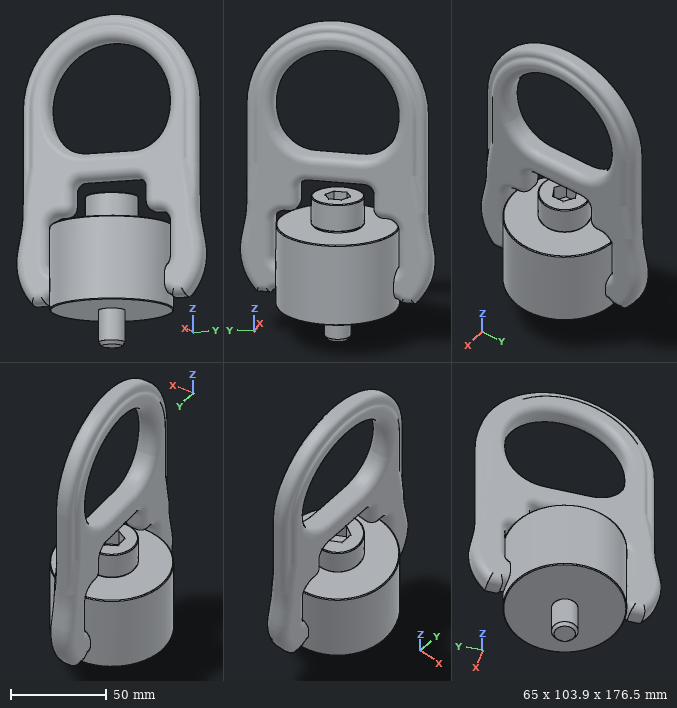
import cadquery as cq
import math


BODY_DIA = 65.0
BODY_HEIGHT = 44.7
BODY_CHAMFER = 0.5
HEAD_DIA = 28.0
HEAD_HEIGHT = 16.0
HEAD_CHAMFER = 0.5
HEAD_COLLAR_DIA = 26.5
HEAD_COLLAR_HEIGHT = 1.0
SHANK_DIA = 14.0
SHANK_LENGTH = 19.0
TIP_CHAMFER_RADIAL = 1.4
TIP_CHAMFER_LENGTH = 2.0
SOCKET_FLATS = 12.0
SOCKET_DEPTH = 9.0

TOTAL_HEIGHT = 176.5
RING_TOP = TOTAL_HEIGHT - SHANK_LENGTH
RING_THICK = 14.0
HALF_THICK = RING_THICK / 2
RING_RADIUS = 48.5
BOW_Z = RING_TOP - RING_RADIUS
RING_FILLET = 5.2

EYE_RADIUS = 33.5
EYE_FLOOR_Z = 84.0
EYE_FLOOR_HALF = 12.5

SWELL_HALF_WIDTH = 51.96
SWELL_RADIUS = 33.0
SWELL_Z = 27.7
LEAN = math.radians(10.8)
WAIST_RADIUS = 53.0
LEG_BOTTOM_Z = 4.8
LEG_BOTTOM_INNER = 35.0

HEAD_GAP_HALF = 20.0
HEAD_GAP_TOP = 69.0
HEAD_GAP_RADIUS = 5.0
BODY_GAP_HALF = 33.5
BODY_GAP_TOP = 51.0
BODY_GAP_RADIUS = 6.0
STEP_RADIUS = 5.4

LUG_END = 22.5
LUG_TOP_Z = 21.0
LUG_BOTTOM_Z = 7.0
LUG_TOP_RADIUS = 5.0
LUG_BOTTOM_RADIUS = 4.0

RIM_LAND = 1.5
RIM_RADIUS = 3.5
RIM_SIDE = RIM_LAND + RIM_RADIUS
RIM_BLEND = (6.0, 5.7)
RIM_DEPTH = 8.7
RIM_END_Z = 77.3
RIM_RUNOUT_Z = 56.5
RIM_BEND = 0.35
CUT_MARGIN = 2.0


def cylinder(diameter, bottom, height):
    return cq.Workplane("XY").workplane(offset=bottom).circle(diameter / 2).extrude(height)


def make_swivel_body(ring):
    body = cylinder(BODY_DIA, 0, BODY_HEIGHT).faces("<Z or >Z").chamfer(BODY_CHAMFER)

    head_bottom = BODY_HEIGHT + HEAD_COLLAR_HEIGHT
    head_top = BODY_HEIGHT + HEAD_HEIGHT
    collar = cylinder(HEAD_COLLAR_DIA, BODY_HEIGHT, HEAD_COLLAR_HEIGHT)
    head = cylinder(HEAD_DIA, head_bottom, head_top - head_bottom).faces(">Z").chamfer(HEAD_CHAMFER)
    shank = cylinder(SHANK_DIA, -SHANK_LENGTH, SHANK_LENGTH)
    shank = shank.faces("<Z").chamfer(TIP_CHAMFER_LENGTH, TIP_CHAMFER_RADIAL)

    socket = (
        cq.Workplane("XY")
        .workplane(offset=head_top - SOCKET_DEPTH)
        .polygon(6, SOCKET_FLATS / math.cos(math.pi / 6))
        .extrude(SOCKET_DEPTH)
        .rotate((0, 0, 0), (0, 0, 1), 90)
    )
    return body.union(collar).union(head).union(shank).cut(socket).cut(ring)


def arc_point(center, radius, degrees):
    angle = math.radians(degrees)
    return (center[0] + radius * math.cos(angle), center[1] + radius * math.sin(angle))


def ring_half_profile():
    """Half of the ring outline (Y > 0) without the eye, drawn as (Y, Z)."""
    swell = (SWELL_HALF_WIDTH - SWELL_RADIUS, SWELL_Z)
    lean_low = arc_point(swell, SWELL_RADIUS, math.degrees(LEAN))
    lean_high_y = RING_RADIUS + WAIST_RADIUS * (1 - math.cos(LEAN))
    lean_high_z = lean_low[1] + (lean_low[0] - lean_high_y) / math.tan(LEAN)
    waist = (RING_RADIUS + WAIST_RADIUS, lean_high_z + WAIST_RADIUS * math.sin(LEAN))
    waist_mid = arc_point(waist, WAIST_RADIUS, 180 + math.degrees(LEAN) / 2)

    bottom_drop = SWELL_Z - LEG_BOTTOM_Z
    leg_bottom_outer = swell[0] + math.sqrt(SWELL_RADIUS**2 - bottom_drop**2)

    lug_rise = LUG_BOTTOM_Z - LEG_BOTTOM_Z
    hollow_run = math.sqrt(LUG_BOTTOM_RADIUS**2 - (LUG_BOTTOM_RADIUS - lug_rise) ** 2)
    hollow_end = LEG_BOTTOM_INNER - hollow_run

    step_center = (HEAD_GAP_HALF + STEP_RADIUS, BODY_GAP_TOP + STEP_RADIUS)
    body_gap_center = (BODY_GAP_HALF - BODY_GAP_RADIUS, BODY_GAP_TOP - BODY_GAP_RADIUS)
    head_gap_center = (HEAD_GAP_HALF - HEAD_GAP_RADIUS, HEAD_GAP_TOP - HEAD_GAP_RADIUS)
    lug_top_center = (BODY_GAP_HALF - LUG_TOP_RADIUS, LUG_TOP_Z + LUG_TOP_RADIUS)

    return (
        cq.Workplane("YZ")
        .moveTo(0, RING_TOP)
        .threePointArc(arc_point((0, BOW_Z), RING_RADIUS, 45), (RING_RADIUS, BOW_Z))
        .lineTo(RING_RADIUS, waist[1])
        .threePointArc(waist_mid, (lean_high_y, lean_high_z))
        .lineTo(*lean_low)
        .threePointArc((SWELL_HALF_WIDTH, SWELL_Z), (leg_bottom_outer, LEG_BOTTOM_Z))
        .lineTo(LEG_BOTTOM_INNER, LEG_BOTTOM_Z)
        .radiusArc((hollow_end, LUG_BOTTOM_Z), -LUG_BOTTOM_RADIUS)
        .lineTo(LUG_END, LUG_BOTTOM_Z)
        .lineTo(LUG_END, LUG_TOP_Z)
        .lineTo(lug_top_center[0], LUG_TOP_Z)
        .threePointArc(arc_point(lug_top_center, LUG_TOP_RADIUS, -45), (BODY_GAP_HALF, lug_top_center[1]))
        .lineTo(BODY_GAP_HALF, body_gap_center[1])
        .threePointArc(arc_point(body_gap_center, BODY_GAP_RADIUS, 45), (body_gap_center[0], BODY_GAP_TOP))
        .lineTo(step_center[0], BODY_GAP_TOP)
        .threePointArc(arc_point(step_center, STEP_RADIUS, 225), (HEAD_GAP_HALF, step_center[1]))
        .lineTo(HEAD_GAP_HALF, head_gap_center[1])
        .threePointArc(arc_point(head_gap_center, HEAD_GAP_RADIUS, 45), (head_gap_center[0], HEAD_GAP_TOP))
        .lineTo(0, HEAD_GAP_TOP)
        .close()
    )


def make_eye():
    """Round eye with a flat floor; the floor corners are tangent to both."""
    drop = BOW_Z - EYE_FLOOR_Z
    corner_radius = (EYE_RADIUS**2 - EYE_FLOOR_HALF**2 - drop**2) / (2 * (EYE_RADIUS - drop))
    corner = (EYE_FLOOR_HALF, EYE_FLOOR_Z + corner_radius)
    join_angle = math.degrees(math.atan2(corner[1] - BOW_Z, corner[0]))
    join = arc_point((0, BOW_Z), EYE_RADIUS, join_angle)
    corner_mid = arc_point(corner, corner_radius, (join_angle - 90) / 2)
    return (
        cq.Workplane("YZ")
        .moveTo(-EYE_FLOOR_HALF, EYE_FLOOR_Z)
        .lineTo(EYE_FLOOR_HALF, EYE_FLOOR_Z)
        .threePointArc(corner_mid, join)
        .threePointArc((0, BOW_Z + EYE_RADIUS), (-join[0], join[1]))
        .threePointArc((-corner_mid[0], corner_mid[1]), (-EYE_FLOOR_HALF, EYE_FLOOR_Z))
        .close()
        .extrude(HALF_THICK, both=True)
    )


def chord_bow(start, end, bow):
    """Middle point of an arc that bows off its chord by the given amount, to the left of travel."""
    run = (end[0] - start[0], end[1] - start[1])
    length = math.hypot(*run)
    return (
        (start[0] + end[0]) / 2 - run[1] / length * bow,
        (start[1] + end[1]) / 2 + run[0] / length * bow,
    )


def cut_section(plane, points, middles):
    """Area outside a three-arc edge shape, in (X, Y) on the +Y side of the ring."""
    far_x = HALF_THICK + CUT_MARGIN
    far_y = RING_RADIUS + CUT_MARGIN
    section = plane.moveTo(points[0][0], RING_RADIUS - points[0][1])
    for middle, point in zip(middles, points[1:]):
        section = section.threePointArc(
            (middle[0], RING_RADIUS - middle[1]), (point[0], RING_RADIUS - point[1])
        )
    section = section.lineTo(far_x, RING_RADIUS - points[-1][1])
    return section.lineTo(far_x, far_y).lineTo(points[0][0], far_y).close()


def rim_section(plane):
    points = [(RIM_LAND, 0), (RIM_SIDE, RIM_RADIUS), RIM_BLEND, (HALF_THICK, RIM_DEPTH)]
    middles = [
        arc_point((RIM_LAND, RIM_RADIUS), RIM_RADIUS, -45),
        chord_bow(points[1], points[2], RIM_BEND),
        chord_bow(points[2], points[3], -RIM_BEND),
    ]
    return cut_section(plane, points, middles)


def runout_section(plane):
    """The plain rounded edge, split into three arcs like the rim."""
    center = (HALF_THICK - RING_FILLET, RING_FILLET)
    points = [arc_point(center, RING_FILLET, angle) for angle in (-90, -60, -30, 0)]
    middles = [arc_point(center, RING_FILLET, angle) for angle in (-75, -45, -15)]
    return cut_section(plane, points, middles)


def make_rim_cuts():
    """Cutters that slim the outer rim around the bow and down both straight sides."""
    bow_plane = cq.Workplane("XY").workplane(offset=BOW_Z)
    bow = rim_section(bow_plane).revolve(180, (0, 0), (1, 0))
    straight = rim_section(bow_plane).extrude(RIM_END_Z - BOW_Z)
    fade = rim_section(cq.Workplane("XY").workplane(offset=RIM_END_Z))
    fade = runout_section(fade.workplane(offset=RIM_RUNOUT_Z - RIM_END_Z)).loft(ruled=True)
    cuts = [bow]
    for cut in (straight, fade):
        cuts += [cut, cut.mirror("XZ")]
    cuts += [cut.mirror("YZ") for cut in cuts]
    return cuts


def make_ring():
    half = ring_half_profile().extrude(HALF_THICK, both=True)
    plate = half.union(half.mirror("XZ")).cut(make_eye())
    lug_ends = cq.selectors.BoxSelector(
        (-RING_THICK, -LUG_END - CUT_MARGIN, LUG_BOTTOM_Z),
        (RING_THICK, LUG_END + CUT_MARGIN, LUG_TOP_Z),
    )
    long_edges = cq.selectors.InverseSelector(lug_ends)
    ring = plate.faces("<X or >X").edges(long_edges).fillet(RING_FILLET)
    for cut in make_rim_cuts():
        ring = ring.cut(cut)
    return ring


ring = make_ring()
swivel_body = make_swivel_body(ring)

result = cq.Compound.makeCompound([swivel_body.val(), ring.val()])